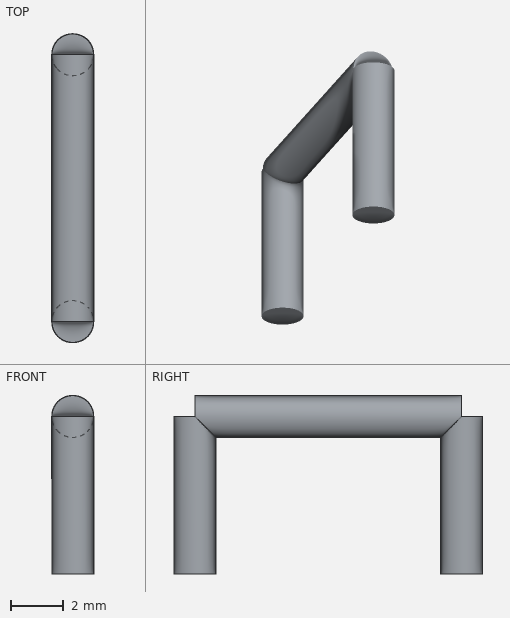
import cadquery as cq

wire_diameter = 1.6
leg_pitch = 10.16
leg_height = 6.0

wire_radius = wire_diameter / 2


def make_leg(y_position):
    """Vertical round leg standing on Z = 0."""
    return cq.Workplane("XY").center(0, y_position).circle(wire_radius).extrude(leg_height)


def make_bar():
    """Horizontal round bar running along Y from one leg axis to the other."""
    return (
        cq.Workplane("XZ")
        .center(0, leg_height)
        .circle(wire_radius)
        .extrude(leg_pitch / 2, both=True)
    )


result = make_bar()
for side in (-1, 1):
    result = result.union(make_leg(side * leg_pitch / 2))